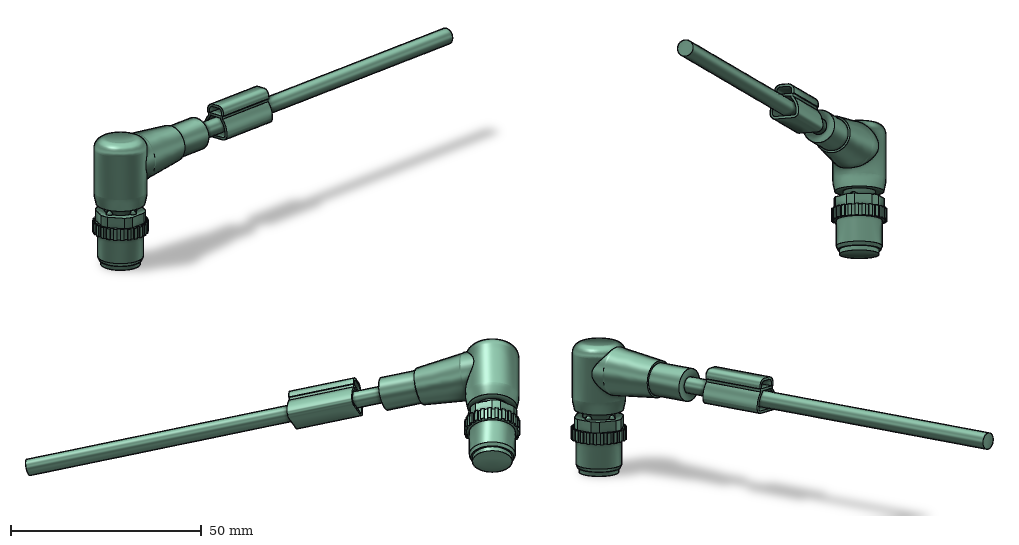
import cadquery as cq
import math


overall_length = 137.3
total_height = 35.0
ring_radius = 7.3
cable_axis_z = 28.0
cable_end_y = overall_length - ring_radius

elbow_radius = 7.0
elbow_bottom_z = 16.9
elbow_top_fillet = 2.9
taper_start_z = 20.2
taper_bottom_radius = 6.5
branch_radius = 6.5
branch_end_y = 6.5
boot_start_y = 6.9
boot_start_radius = 6.3
boot_end_y = 20.0
boot_end_radius = 5.0
sleeve_radius = 4.4
sleeve_end_y = 30.2

cable_radius = 2.2
cable_start_y = boot_end_y

clip_start_y = 37.9
clip_end_y = 56.0
clip_wall = 0.7
clip_top_z = 33.9
tube_bottom_z = 31.3
tube_half_width = 2.7
tube_corner_radius = 1.8
shell_neck_half_width = 2.5
shell_neck_bottom_z = 30.5
shell_half_width = 4.0
shell_widest_z = 26.2
shell_bulge_x = 3.6
shell_bulge_z = 28.7
shell_corner_radius = 1.5
shell_bottom_z = shell_widest_z - shell_corner_radius

tip_radius = 5.2
tip_top_z = 6.9
neck_radius = 4.3

thread_radius = 6.0
thread_bottom_z = 1.2
thread_chamfer_height = 1.0
thread_chamfer_width = 0.4
ring_bottom_z = 9.0
ring_top_z = 12.1
knurl_root_radius = 6.7
knurl_teeth = 24
nut_top_z = 15.0
hex_across_flats = 12.4
hex_corner_radius = 6.6
lug_count = 4
lug_radius = 1.0
lug_circle_radius = 4.3


def cylinder_z(radius, bottom_z, top_z):
    return cq.Workplane("XY").workplane(offset=bottom_z).circle(radius).extrude(top_z - bottom_z)


def cylinder_y(radius, start_y, end_y):
    """Cylinder on the cable axis."""
    plane = cq.Workplane("XZ", origin=(0, start_y, cable_axis_z))
    return plane.circle(radius).extrude(start_y - end_y)


def make_elbow():
    taper_height = taper_start_z - elbow_bottom_z
    taper_depth = elbow_radius - taper_bottom_radius
    taper_arc_radius = (taper_height**2 + taper_depth**2) / (2 * taper_depth)
    half_angle = math.asin(taper_height / taper_arc_radius) / 2
    taper_middle = (
        elbow_radius - taper_arc_radius * (1 - math.cos(half_angle)),
        taper_start_z - taper_arc_radius * math.sin(half_angle),
    )
    upright = (
        cq.Workplane("XZ")
        .moveTo(0, elbow_bottom_z)
        .lineTo(taper_bottom_radius, elbow_bottom_z)
        .threePointArc(taper_middle, (elbow_radius, taper_start_z))
        .lineTo(elbow_radius, total_height - elbow_top_fillet)
        .radiusArc((elbow_radius - elbow_top_fillet, total_height), -elbow_top_fillet)
        .lineTo(0, total_height)
        .close()
        .revolve(360, (0, 0), (0, 1))
    )
    branch = (
        cq.Workplane("XY", origin=(0, 0, cable_axis_z))
        .polyline([
            (0, 0),
            (branch_radius, 0),
            (branch_radius, branch_end_y),
            (boot_start_radius, boot_start_y),
            (boot_end_radius, boot_end_y),
            (sleeve_radius, boot_end_y),
            (sleeve_radius, sleeve_end_y),
            (0, sleeve_end_y),
        ])
        .close()
        .revolve(360, (0, 0), (0, 1))
    )
    cable_hole = cylinder_y(cable_radius, cable_start_y, sleeve_end_y)
    return upright.union(branch).cut(cable_hole)


def make_cable():
    return cylinder_y(cable_radius, cable_start_y, cable_end_y)


def clip_tube_outline(bottom_z):
    return (
        cq.Workplane("XZ", origin=(0, clip_start_y, 0))
        .moveTo(-tube_half_width, bottom_z)
        .lineTo(-tube_half_width, clip_top_z - tube_corner_radius)
        .radiusArc((tube_corner_radius - tube_half_width, clip_top_z), tube_corner_radius)
        .lineTo(tube_half_width - tube_corner_radius, clip_top_z)
        .radiusArc((tube_half_width, clip_top_z - tube_corner_radius), tube_corner_radius)
        .lineTo(tube_half_width, bottom_z)
        .close()
    )


def clip_shell_outline():
    floor_half_width = shell_half_width - shell_corner_radius
    return (
        cq.Workplane("XZ", origin=(0, clip_start_y, 0))
        .moveTo(-shell_neck_half_width, tube_bottom_z)
        .lineTo(shell_neck_half_width, tube_bottom_z)
        .lineTo(shell_neck_half_width, shell_neck_bottom_z)
        .threePointArc((shell_bulge_x, shell_bulge_z), (shell_half_width, shell_widest_z))
        .radiusArc((floor_half_width, shell_bottom_z), shell_corner_radius)
        .lineTo(-floor_half_width, shell_bottom_z)
        .radiusArc((-shell_half_width, shell_widest_z), shell_corner_radius)
        .threePointArc((-shell_bulge_x, shell_bulge_z), (-shell_neck_half_width, shell_neck_bottom_z))
        .close()
    )


def make_clip():
    """Extruded marker clip: a label tube on a narrow neck, above a shell around the cable."""
    length = clip_end_y - clip_start_y
    tube = clip_tube_outline(tube_bottom_z).extrude(-length)
    tube_bore = clip_tube_outline(tube_bottom_z - clip_wall).offset2D(-clip_wall).extrude(-length)
    shell = clip_shell_outline().extrude(-length)
    shell_bore = clip_shell_outline().offset2D(-clip_wall).extrude(-length)
    return tube.union(shell).cut(tube_bore).cut(shell_bore)


def make_insert():
    tip = cylinder_z(tip_radius, 0, tip_top_z)
    neck = cylinder_z(neck_radius, tip_top_z, elbow_bottom_z)
    return tip.union(neck)


def make_nut():
    thread = (
        cylinder_z(thread_radius, thread_bottom_z, ring_bottom_z)
        .faces("<Z").chamfer(thread_chamfer_height, thread_chamfer_width)
    )
    hex_height = nut_top_z - ring_bottom_z
    hex_corner_distance = hex_across_flats / math.cos(math.pi / 6)
    hexagon = (
        cq.Workplane("XY").workplane(offset=ring_bottom_z)
        .transformed(rotate=(0, 0, 90))
        .polygon(6, hex_corner_distance).extrude(hex_height)
        .intersect(cylinder_z(hex_corner_radius, ring_bottom_z, nut_top_z))
    )
    return thread.union(hexagon).union(make_knurled_ring()).union(make_lugs()).cut(make_insert())


def make_knurled_ring():
    """Ring with straight grooves as wide as the teeth; a tooth is centred on each axis."""
    ring = cylinder_z(ring_radius, ring_bottom_z, ring_top_z)
    tooth_pitch = 2 * math.pi * ring_radius / knurl_teeth
    half_pitch_angle = 180 / knurl_teeth
    grooves = (
        cq.Workplane("XY").workplane(offset=ring_bottom_z)
        .polarArray(ring_radius, half_pitch_angle, 360, knurl_teeth)
        .rect(2 * (ring_radius - knurl_root_radius), tooth_pitch / 2)
        .extrude(ring_top_z - ring_bottom_z)
    )
    return ring.cut(grooves)


def make_lugs():
    """Small round lugs that stand on top of the nut, against the neck of the insert."""
    return (
        cq.Workplane("XY").workplane(offset=nut_top_z)
        .polarArray(lug_circle_radius, 0, 360, lug_count)
        .sphere(lug_radius)
    )


elbow = make_elbow()
cable = make_cable()
clip = make_clip()
insert = make_insert()
nut = make_nut()

result = cq.Compound.makeCompound([elbow.val(), cable.val(), clip.val(), insert.val(), nut.val()])